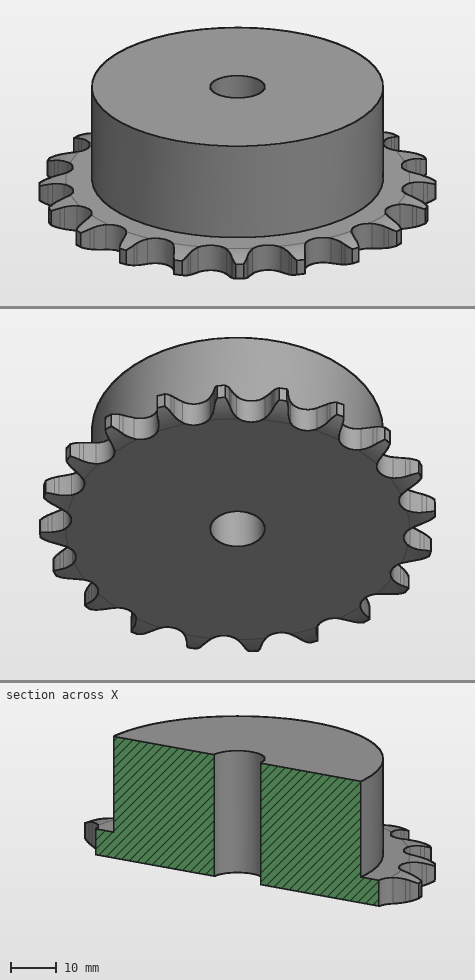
import cadquery as cq
import math

outer_size = 86.1
total_height = 28.0
plate_thickness = 6.0
hub_diameter = 64.0
bore_diameter = 12.0

tooth_count = 20
pitch_diameter = 81.2
roller_diameter = 7.9

relief_start_radius = 37.7
relief_depth = 1.3

seat_clearance = 0.1
seating_radius = (roller_diameter + seat_clearance) / 2
seating_sweep = 55 - 60 / tooth_count
working_sweep = 18 - 56 / tooth_count
topping_angle = 17 - 64 / tooth_count
working_radius = 1.3025 * roller_diameter
flat_length = roller_diameter * (
    1.4 * math.sin(math.radians(topping_angle)) - 0.8 * math.sin(math.radians(working_sweep))
)
topping_radius = roller_diameter * (
    0.8 * math.cos(math.radians(working_sweep)) + 1.4 * math.cos(math.radians(topping_angle)) - 1.3025
)
flank_slope = seating_sweep + working_sweep
tooth_angle = 360 / tooth_count


def polar(radius, degrees, centre=(0, 0)):
    """Point at a radius and angle around a centre."""
    angle = math.radians(degrees)
    return (centre[0] + radius * math.cos(angle), centre[1] + radius * math.sin(angle))


def turned(point, degrees):
    """Point rotated about the sprocket axis."""
    return polar(math.hypot(*point), degrees + math.degrees(math.atan2(point[1], point[0])))


def mirrored(point):
    return (-point[0], point[1])


seat_centre = (0, pitch_diameter / 2)
gap_root = polar(seating_radius, -90, seat_centre)
seat_end = polar(seating_radius, seating_sweep - 90, seat_centre)
working_centre = polar(working_radius, seating_sweep + 90, seat_end)
working_middle = polar(working_radius, seating_sweep + working_sweep / 2 - 90, working_centre)
working_end = polar(working_radius, flank_slope - 90, working_centre)
flat_end = polar(flat_length, flank_slope, working_end)
topping_centre = polar(topping_radius, flank_slope - 90, flat_end)

tip_corner_angle = 180 - math.degrees(math.asin((outer_size / 2 - topping_centre[1]) / topping_radius))
tip_corner = polar(topping_radius, tip_corner_angle, topping_centre)
topping_middle = polar(topping_radius, (flank_slope + 90 + tip_corner_angle) / 2, topping_centre)
tip_radius = math.hypot(*tip_corner)
tip_middle = polar(tip_radius, 90 - tooth_angle / 2)


def add_gap_and_tip(outline, turn):
    """Extend the outline across one tooth gap and the next tooth tip, going clockwise."""

    def place(point):
        return turned(point, -turn)

    return (
        outline.threePointArc(place(mirrored(topping_middle)), place(mirrored(flat_end)))
        .lineTo(*place(mirrored(working_end)))
        .threePointArc(place(mirrored(working_middle)), place(mirrored(seat_end)))
        .threePointArc(place(gap_root), place(seat_end))
        .threePointArc(place(working_middle), place(working_end))
        .lineTo(*place(flat_end))
        .threePointArc(place(topping_middle), place(tip_corner))
        .threePointArc(place(tip_middle), place(turned(mirrored(tip_corner), -tooth_angle)))
    )


def toothed_plate():
    outline = cq.Workplane("XY").moveTo(*mirrored(tip_corner))
    for tooth in range(tooth_count):
        outline = add_gap_and_tip(outline, tooth * tooth_angle)
    return outline.close().extrude(plate_thickness)


def relieved_disc():
    """Disc whose rim curves in from both faces along arcs tangent to the faces."""
    relief_width = tip_radius - relief_start_radius
    relief_radius = (relief_width**2 + relief_depth**2) / (2 * relief_depth)
    half_sweep = math.degrees(math.asin(relief_width / relief_radius)) / 2
    lower_middle = polar(relief_radius, half_sweep - 90, (relief_start_radius, relief_radius))
    upper_middle = (lower_middle[0], plate_thickness - lower_middle[1])
    return (
        cq.Workplane("XZ")
        .lineTo(relief_start_radius, 0)
        .threePointArc(lower_middle, (tip_radius, relief_depth))
        .lineTo(tip_radius, plate_thickness - relief_depth)
        .threePointArc(upper_middle, (relief_start_radius, plate_thickness))
        .lineTo(0, plate_thickness)
        .close()
        .revolve(360, (0, 0, 0), (0, 1, 0))
    )


hub = cq.Workplane("XY").circle(hub_diameter / 2).extrude(total_height)
bore = cq.Workplane("XY").circle(bore_diameter / 2).extrude(total_height)

result = toothed_plate().intersect(relieved_disc()).union(hub).cut(bore)